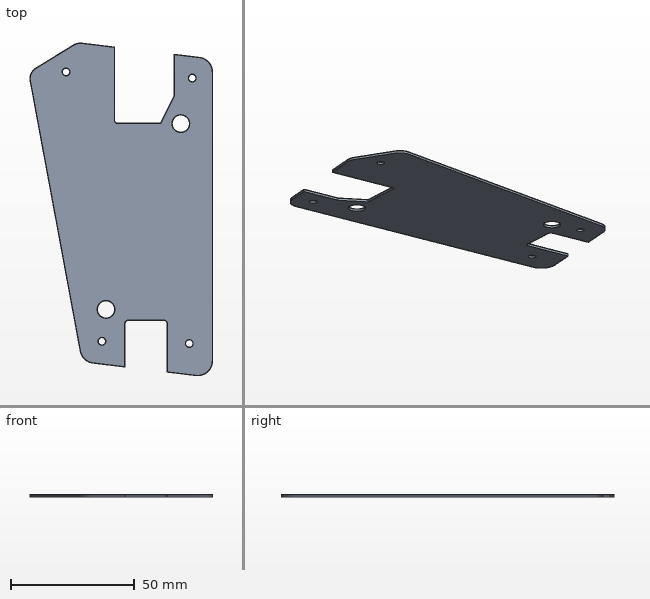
import cadquery as cq
import math

thickness = 1.0

end_edge_slope = -math.tan(math.radians(6.9))
bottom_edge_offset = -0.77
top_edge_offset = 128.04
shoulder_slope = math.tan(math.radians(31.5))
shoulder_offset = 168.1
left_edge_lean = -math.tan(math.radians(10.5))
left_edge_offset = -51.63

end_corner_radius = 6.0
shoulder_radius = 5.0

top_notch_left = -39.55
top_notch_right = -15.5
top_notch_floor = 102.1
slant_width = 5.5
slant_height = 11.0
top_notch_radius = 1.0

bottom_notch_left = -35.45
bottom_notch_right = -18.3
bottom_notch_floor = 22.4
bottom_notch_radius = 1.5

screw_hole_diameter = 3.0
screw_hole_centers = [(-59.2, 122.8), (-8.2, 120.3), (-44.7, 13.9), (-9.4, 13.0)]
large_hole_diameter = 7.0
large_hole_centers = [(-12.8, 101.9), (-43.05, 26.8)]


def bottom_edge_y(x):
    return bottom_edge_offset + end_edge_slope * x


def top_edge_y(x):
    return top_edge_offset + end_edge_slope * x


def left_edge_meeting(slope, offset):
    """Point where the left edge meets the line y = slope * x + offset."""
    y = (slope * left_edge_offset + offset) / (1 - slope * left_edge_lean)
    return left_edge_offset + left_edge_lean * y, y


def round_corner(body, corner, radius):
    """Round the upright edge standing at the given (x, y) corner."""
    edge = cq.selectors.NearestToPointSelector((*corner, thickness / 2))
    return body.edges("|Z").edges(edge).fillet(radius)


def make_plate():
    peak_x = (top_edge_offset - shoulder_offset) / (shoulder_slope - end_edge_slope)
    bottom_right = (0, bottom_edge_y(0))
    top_right = (0, top_edge_y(0))
    peak = (peak_x, top_edge_y(peak_x))
    upper_left = left_edge_meeting(shoulder_slope, shoulder_offset)
    lower_left = left_edge_meeting(end_edge_slope, bottom_edge_offset)
    outline = [bottom_right, top_right, peak, upper_left, lower_left]
    plate = cq.Workplane("XY").polyline(outline).close().extrude(thickness)
    for corner in (bottom_right, top_right, lower_left):
        plate = round_corner(plate, corner, end_corner_radius)
    for corner in (peak, upper_left):
        plate = round_corner(plate, corner, shoulder_radius)
    return plate


def make_top_notch():
    open_end = top_edge_y(top_notch_left)
    floor_left = (top_notch_left, top_notch_floor)
    notch = (
        cq.Workplane("XY")
        .moveTo(top_notch_left, open_end)
        .lineTo(*floor_left)
        .lineTo(top_notch_right - slant_width, top_notch_floor)
        .lineTo(top_notch_right, top_notch_floor + slant_height)
        .lineTo(top_notch_right, open_end)
        .close()
        .extrude(thickness)
    )
    return round_corner(notch, floor_left, top_notch_radius)


def make_bottom_notch():
    open_end = bottom_edge_y(bottom_notch_right)
    notch = (
        cq.Workplane("XY")
        .moveTo(bottom_notch_left, open_end)
        .lineTo(bottom_notch_left, bottom_notch_floor)
        .lineTo(bottom_notch_right, bottom_notch_floor)
        .lineTo(bottom_notch_right, open_end)
        .close()
        .extrude(thickness)
    )
    for x in (bottom_notch_left, bottom_notch_right):
        notch = round_corner(notch, (x, bottom_notch_floor), bottom_notch_radius)
    return notch


def make_holes(centers, diameter):
    return cq.Workplane("XY").pushPoints(centers).circle(diameter / 2).extrude(thickness)


result = (
    make_plate()
    .cut(make_top_notch())
    .cut(make_bottom_notch())
    .cut(make_holes(screw_hole_centers, screw_hole_diameter))
    .cut(make_holes(large_hole_centers, large_hole_diameter))
)